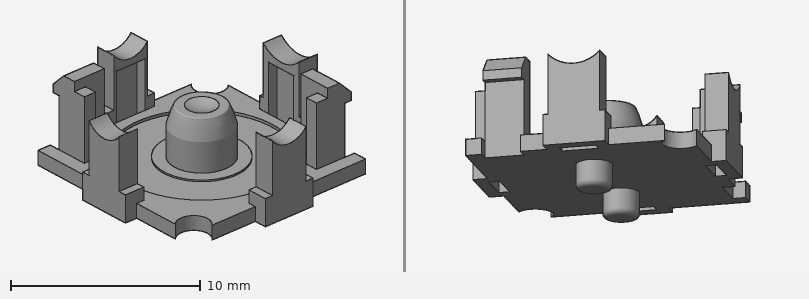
import cadquery as cq
import math

plate_size = 12.26
plate_thickness = 0.9
plate_half = plate_size / 2

notch_diameter = 1.95
notch_offset = 5.42

recess_diameter = 9.98
recess_depth = 0.17
recess_floor = plate_thickness - recess_depth

overall_size = 13.85
post_thickness = 1.3
post_height = 5.0
post_width = 2.37
wide_post_width = 2.83
foot_width = 3.38
foot_height = 1.7
saddle_depth = 0.6
pocket_width = 2.0
pocket_depth = 0.6
pocket_top = 4.0
post_outer = overall_size / 2
post_inner = post_outer - post_thickness

clip_height = 5.5
clip_side_near = 3.13
clip_width = 2.12
clip_inner = 4.22
clip_outer = 5.44
hook_tip = 5.9
hook_bottom = 4.15
hook_slope = 0.83
rib_length = 0.79
rib_width = 0.79
rib_top = 4.9
clip_side_far = clip_side_near + clip_width

peg_diameter = 1.95
peg_length = 1.4
peg_fillet = 0.3
peg_offset = 2.754

flange_diameter = 5.32
flange_thickness = 0.1
pin_diameter = 3.8
pin_top = 3.9
shoulder_height = 2.68
neck_radius = 1.51
neck_height = 3.8
pin_tip_radius = 1.39
taper_bulge = 0.05
dimple_radius = 0.915
dimple_depth = 0.2


def box_between(x_range, y_range, z_range):
    """Axis-aligned box given by its limits along X, Y and Z."""
    ranges = (x_range, y_range, z_range)
    sizes = [high - low for low, high in ranges]
    corner = tuple(low for low, high in ranges)
    return cq.Workplane("XY").box(*sizes, centered=False).translate(corner)


def make_corner_notch():
    """Round notch at the (-X, +Y) corner, with the sliver left at the tip removed."""
    notch = (
        cq.Workplane("XY")
        .center(-notch_offset, notch_offset)
        .circle(notch_diameter / 2)
        .extrude(plate_thickness)
    )
    tip = box_between(
        (-plate_half, -notch_offset),
        (notch_offset, plate_half),
        (0, plate_thickness),
    )
    return notch.union(tip)


def make_plate():
    """Square plate with two notched corners and the round recess."""
    plate = cq.Workplane("XY").rect(plate_size, plate_size).extrude(plate_thickness)
    recess = (
        cq.Workplane("XY")
        .workplane(offset=recess_floor)
        .circle(recess_diameter / 2)
        .extrude(recess_depth)
    )
    notch = make_corner_notch()
    opposite_notch = notch.rotate((0, 0, 0), (0, 0, 1), 180)
    return plate.cut(notch).cut(opposite_notch).cut(recess)


def make_post(width):
    """Post on the +Y side: wide foot and a saddle on top."""
    half_foot = foot_width / 2
    half_width = width / 2
    return (
        cq.Workplane("XZ", origin=(0, post_outer, 0))
        .moveTo(-half_foot, 0)
        .lineTo(half_foot, 0)
        .lineTo(half_foot, foot_height)
        .lineTo(half_width, foot_height)
        .lineTo(half_width, post_height)
        .threePointArc((0, post_height - saddle_depth), (-half_width, post_height))
        .lineTo(-half_width, foot_height)
        .lineTo(-half_foot, foot_height)
        .close()
        .extrude(post_thickness)
    )


def make_post_pocket():
    """Pocket in the inner face of the +Y post, open through the bottom of the plate."""
    return box_between(
        (-pocket_width / 2, pocket_width / 2),
        (post_inner, post_inner + pocket_depth),
        (0, pocket_top),
    )


def make_clip():
    """Clip near the (+X, +Y) corner, hooked outward along +Y, with a rib behind it."""
    clip = (
        cq.Workplane("YZ", origin=(clip_side_near, 0, 0))
        .moveTo(clip_inner, 0)
        .lineTo(clip_outer, 0)
        .lineTo(clip_outer, hook_bottom)
        .lineTo(hook_tip, hook_bottom)
        .lineTo(hook_tip, clip_height - hook_slope)
        .lineTo(hook_tip - hook_slope, clip_height)
        .lineTo(clip_inner, clip_height)
        .close()
        .extrude(clip_width)
    )
    rib = box_between(
        (clip_side_far - rib_width, clip_side_far),
        (clip_inner - rib_length, clip_inner),
        (0, rib_top),
    )
    return clip.union(rib)


def make_clip_notch():
    """Part of the plate edge left open under the hook of the clip."""
    return box_between(
        (clip_side_near, clip_side_far),
        (clip_outer, plate_half),
        (0, plate_thickness),
    )


def mirror_across_diagonal(shape):
    """Copy to the opposite corner, swapping the X and Y sides."""
    return shape.mirror("YZ").rotate((0, 0, 0), (0, 0, 1), 90)


def make_pegs():
    """Two pegs under the plate, rounded at their lower ends."""
    return (
        cq.Workplane("XY")
        .pushPoints([(0, peg_offset), (0, -peg_offset)])
        .circle(peg_diameter / 2)
        .extrude(-peg_length)
        .faces("<Z")
        .edges()
        .fillet(peg_fillet)
    )


def make_base():
    """Plate with its four posts, two clips and two pegs as one solid."""
    base = make_plate()
    post_pocket = make_post_pocket()
    for side in range(4):
        width = wide_post_width if side == 0 else post_width
        turn = ((0, 0, 0), (0, 0, 1), side * 90)
        base = base.union(make_post(width).rotate(*turn)).cut(post_pocket.rotate(*turn))
    clip = make_clip()
    notch = make_clip_notch()
    base = base.cut(notch).cut(mirror_across_diagonal(notch))
    base = base.union(clip).union(mirror_across_diagonal(clip))
    return base.union(make_pegs())


def make_pin():
    """Flanged pin on the recess floor: bulged taper, rounded rim, dimpled top."""
    pin_radius = pin_diameter / 2
    flange_radius = flange_diameter / 2
    flange_top = recess_floor + flange_thickness
    taper_middle = (
        (pin_radius + neck_radius) / 2 + taper_bulge,
        (shoulder_height + neck_height) / 2,
    )
    rim_turn = math.sqrt(0.5)
    rim_middle = (
        pin_tip_radius + (neck_radius - pin_tip_radius) * rim_turn,
        neck_height + (pin_top - neck_height) * rim_turn,
    )
    dimple_sphere = (dimple_radius**2 + dimple_depth**2) / (2 * dimple_depth)
    pin = (
        cq.Workplane("XZ")
        .moveTo(0, recess_floor)
        .lineTo(flange_radius, recess_floor)
        .lineTo(flange_radius, flange_top)
        .lineTo(pin_radius, flange_top)
        .lineTo(pin_radius, shoulder_height)
        .threePointArc(taper_middle, (neck_radius, neck_height))
        .threePointArc(rim_middle, (pin_tip_radius, pin_top))
        .lineTo(0, pin_top)
        .close()
        .revolve(360, (0, 0, 0), (0, 1, 0))
    )
    dimple = (
        cq.Workplane("XY")
        .sphere(dimple_sphere)
        .translate((0, 0, pin_top - dimple_depth + dimple_sphere))
    )
    return pin.cut(dimple)


base = make_base()
pin = make_pin()

result = cq.Compound.makeCompound([base.val(), pin.val()])